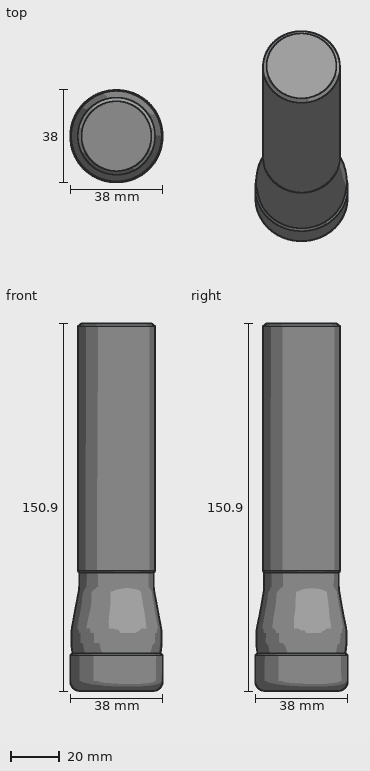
import cadquery as cq
import math

head_radius = 19.0
head_height = 15.5
head_corner_radius = 4.0
head_chamfer = 0.9

collar_radius = 18.5
collar_foot_radius = 18.1
collar_curve_top = 19.8
collar_top = 23.8

neck_radius = 15.4
neck_bottom = 42.7
neck_top = 48.6
blend_height = 1.8

overall_length = 150.9
shank_radius = 15.8
shank_bottom = 49.4
end_chamfer_height = 1.2
end_chamfer_width = 1.5

cone_height = neck_bottom - collar_top - 2 * blend_height
cone_angle = math.atan((collar_radius - neck_radius) / (cone_height + blend_height))
blend_step = blend_height * math.tan(cone_angle / 2)

collar_curve_height = collar_curve_top - head_height
collar_curve_inset = collar_radius - collar_foot_radius
collar_arc_radius = (collar_curve_height**2 + collar_curve_inset**2) / (2 * collar_curve_inset)
half_turn = math.asin(collar_curve_height / collar_arc_radius) / 2
collar_arc_middle = (
    collar_radius - collar_arc_radius * (1 - math.cos(half_turn)),
    collar_curve_top - collar_arc_radius * math.sin(half_turn),
)


def make_cutting_head():
    disc = cq.Workplane("XY").circle(head_radius).extrude(head_height)
    disc = disc.faces("<Z").edges().fillet(head_corner_radius)
    return disc.faces(">Z").edges().chamfer(head_chamfer)


def make_holder():
    """Revolve the collar, cone, neck and shank as one body."""
    profile = (
        cq.Workplane("XZ")
        .moveTo(0, head_height)
        .lineTo(collar_foot_radius, head_height)
        .threePointArc(collar_arc_middle, (collar_radius, collar_curve_top))
        .lineTo(collar_radius, collar_top)
        .tangentArcPoint((collar_radius - blend_step, collar_top + blend_height), relative=False)
        .lineTo(neck_radius + blend_step, neck_bottom - blend_height)
        .tangentArcPoint((neck_radius, neck_bottom), relative=False)
        .lineTo(neck_radius, neck_top)
        .lineTo(shank_radius, shank_bottom)
        .lineTo(shank_radius, overall_length - end_chamfer_height)
        .lineTo(shank_radius - end_chamfer_width, overall_length)
        .lineTo(0, overall_length)
        .close()
    )
    return profile.revolve(360, (0, 0, 0), (0, 1, 0))


cutting_head = make_cutting_head()
holder = make_holder()

result = cq.Compound.makeCompound([cutting_head.val(), holder.val()])